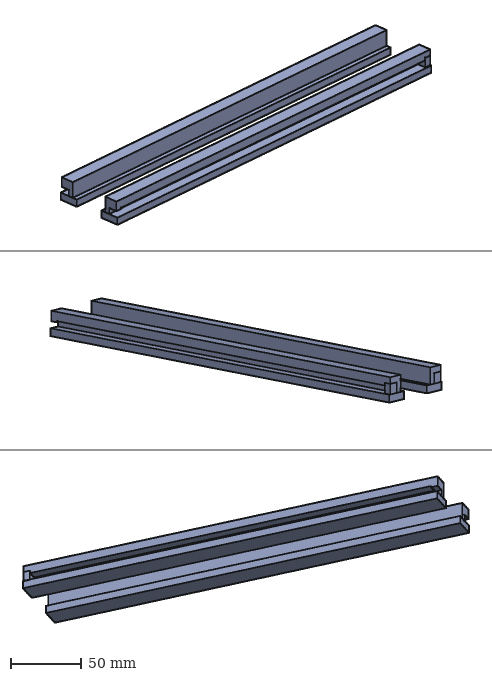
import cadquery as cq

LENGTH = 323.0
PAIR_WIDTH = 56.0
HEIGHT = 18.5

BASE_WIDTH = 15.8
BASE_HEIGHT = 5.8

BAR_INSET = 1.0
BAR_WIDTH = 11.0
WEB_WIDTH = 4.0
GROOVE_TOP = 11.5
LIP_BOTTOM = 10.5
LIP_LENGTH = 5.2

STOP_LENGTH = 5.2
STOP_TOP = 13.5

FRONT = -LENGTH / 2
REAR = LENGTH / 2
BOTTOM = -HEIGHT / 2
BASE_TOP = BOTTOM + BASE_HEIGHT
BASE_OUTER = -PAIR_WIDTH / 2
BAR_OUTER = BASE_OUTER + BAR_INSET
GROOVE_DEPTH = BAR_WIDTH - WEB_WIDTH


def block(corner, size):
    """Box given by its lowest corner and its size along X, Y and Z."""
    return cq.Workplane("XY").box(*size, centered=False).translate(corner)


def make_base():
    """Flat plate carrying the bar and the end stop."""
    return block((BASE_OUTER, FRONT, BOTTOM), (BASE_WIDTH, LENGTH, BASE_HEIGHT))


def make_end_stop():
    """Block filling the rear end of the groove, flush with the head."""
    size = (GROOVE_DEPTH, STOP_LENGTH, STOP_TOP - BASE_HEIGHT)
    return block((BAR_OUTER, REAR - STOP_LENGTH, BASE_TOP), size)


def make_bar():
    """Grooved bar with a front lip and a recess for the end stop."""
    bar = block((BAR_OUTER, FRONT, BASE_TOP), (BAR_WIDTH, LENGTH, HEIGHT - BASE_HEIGHT))
    lip_size = (GROOVE_DEPTH, LIP_LENGTH, LIP_BOTTOM - BASE_HEIGHT)
    lip_opening = block((BAR_OUTER, FRONT, BASE_TOP), lip_size)
    groove_size = (GROOVE_DEPTH, LENGTH - LIP_LENGTH, GROOVE_TOP - BASE_HEIGHT)
    groove = block((BAR_OUTER, FRONT + LIP_LENGTH, BASE_TOP), groove_size)
    return bar.cut(lip_opening).cut(groove).cut(make_end_stop())


bodies = []
for left_body in (make_base(), make_bar(), make_end_stop()):
    right_body = left_body.mirror("YZ")
    bodies.append(left_body.val())
    bodies.append(right_body.val())

result = cq.Compound.makeCompound(bodies)